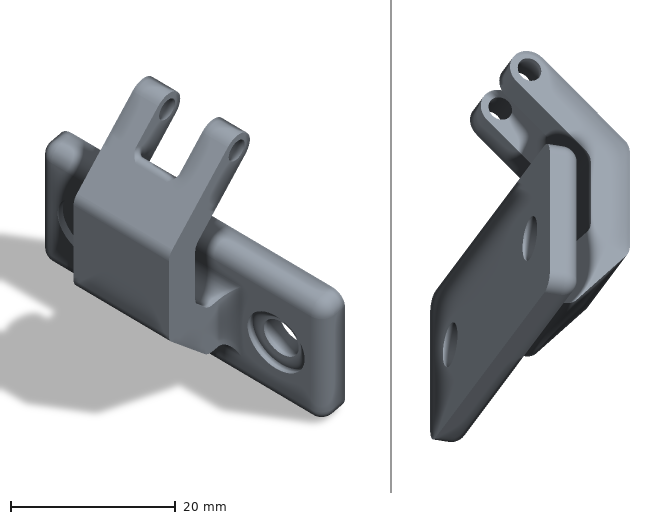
import cadquery as cq
import math

plate_length = 45.0
plate_thickness = 4.0
plate_height = 20.0
round_radius = 2.0

screw_spacing = 29.95
screw_diameter = 5.5
counterbore_diameter = 9.0
counterbore_depth = 1.0

arm_width = 15.05
arm_thickness = 5.0
arm_reach = 15.35
foot_height = 8.0
lower_bend_height = 4.25
pivot_height = 27.0
pivot_diameter = 3.0
upper_slope = math.radians(42)
lower_slope = math.radians(48)

slot_width = 6.95
slot_depth = 8.0
slot_radius = 1.0

half_thickness = arm_thickness / 2
foot_half = foot_height / 2
eye_depth = half_thickness
inner_depth = arm_reach - arm_thickness


def side_profile(depth, height):
    """Workplane point in the YZ plane; depth runs forward, along -Y."""
    return (-depth, height)


def make_plate():
    plate = cq.Workplane("XY").box(plate_length, plate_thickness, plate_height)
    plate = plate.translate((0, -plate_thickness / 2, 0))
    plate = plate.edges("|Y or <Y").fillet(round_radius)
    return plate


def flare_prism(plane, half_width, length):
    """Foot outline that flares out with concave arcs where it meets the plate."""
    flare_end = -plate_thickness - round_radius
    wide = half_width + round_radius
    sag = round_radius * (1 - math.sqrt(0.5))
    across = half_width + sag
    along = -plate_thickness - sag
    outline = (
        cq.Workplane(plane)
        .moveTo(-wide, -plate_thickness / 2)
        .lineTo(wide, -plate_thickness / 2)
        .lineTo(wide, -plate_thickness)
        .threePointArc((across, along), (half_width, flare_end))
        .lineTo(-half_width, flare_end)
        .threePointArc((-across, along), (-wide, -plate_thickness))
        .close()
    )
    return outline.extrude(length / 2, both=True)


def make_foot():
    """Two crossed prisms leave mitred corners on the flare."""
    across_x = flare_prism(cq.Plane.XY(), arm_width / 2, plate_height)
    z_plane = cq.Plane(origin=(0, 0, 0), xDir=(0, 0, 1), normal=(-1, 0, 0))
    across_z = flare_prism(z_plane, foot_half, plate_length)
    return across_x.intersect(across_z)


def make_arm():
    normal_depth = half_thickness * math.sin(upper_slope)
    normal_height = half_thickness * math.cos(upper_slope)
    eye_front = (eye_depth + normal_depth, pivot_height + normal_height)
    eye_back = (eye_depth - normal_depth, pivot_height - normal_height)
    eye_tip = (
        eye_depth - half_thickness * math.cos(upper_slope),
        pivot_height + half_thickness * math.sin(upper_slope),
    )
    drop = math.tan(upper_slope)
    upper_outer = eye_front[1] - (arm_reach - eye_front[0]) * drop
    upper_inner = eye_back[1] - (inner_depth - eye_back[0]) * drop

    rise = math.tan(lower_slope)
    heel_depth = arm_reach - (lower_bend_height + foot_half) / rise
    lower_inner = foot_half + (inner_depth - heel_depth) * rise

    root_depth = plate_thickness + round_radius
    arm = (
        cq.Workplane("YZ")
        .moveTo(*side_profile(root_depth, -foot_half))
        .lineTo(*side_profile(heel_depth, -foot_half))
        .lineTo(*side_profile(arm_reach, lower_bend_height))
        .lineTo(*side_profile(arm_reach, upper_outer))
        .lineTo(*side_profile(*eye_front))
        .threePointArc(side_profile(*eye_tip), side_profile(*eye_back))
        .lineTo(*side_profile(inner_depth, upper_inner))
        .lineTo(*side_profile(inner_depth, lower_inner))
        .lineTo(*side_profile(heel_depth, foot_half))
        .lineTo(*side_profile(root_depth, foot_half))
        .close()
        .extrude(arm_width / 2, both=True)
    )
    bends = [
        (heel_depth, -foot_half),
        (arm_reach, lower_bend_height),
        (arm_reach, upper_outer),
        (inner_depth, upper_inner),
        (inner_depth, lower_inner),
        (heel_depth, foot_half),
    ]
    for depth, height in bends:
        bend_edge = cq.selectors.NearestToPointSelector((0, -depth, height))
        arm = arm.edges(bend_edge).fillet(round_radius)
    return arm


def make_slot():
    """Slot void: a vertical wall that curls over a rounded rim onto the outer face."""
    slope_run = math.cos(upper_slope)
    slope_drop = math.sin(upper_slope)
    slot_bottom = foot_half + round_radius
    slot_top = pivot_height + arm_thickness

    rim_height = (
        pivot_height + half_thickness / slope_run - (slot_depth - eye_depth) * math.tan(upper_slope)
    )
    turn = math.pi / 2 + upper_slope
    tangent_length = slot_radius * math.tan(turn / 2)
    arc_start = (slot_depth, rim_height - tangent_length)
    arc_end = (slot_depth + tangent_length * slope_run, rim_height - tangent_length * slope_drop)
    arc_middle = (
        slot_depth + slot_radius * (1 - math.cos(turn / 2)),
        arc_start[1] + slot_radius * math.sin(turn / 2),
    )
    outer_end = (
        arc_end[0] + slot_radius * slope_run,
        arc_end[1] - slot_radius * slope_drop,
    )
    slot = (
        cq.Workplane("YZ")
        .moveTo(*side_profile(-slot_radius, slot_bottom))
        .lineTo(*side_profile(slot_depth, slot_bottom))
        .lineTo(*side_profile(*arc_start))
        .threePointArc(side_profile(*arc_middle), side_profile(*arc_end))
        .lineTo(*side_profile(*outer_end))
        .lineTo(*side_profile(outer_end[0], slot_top))
        .lineTo(*side_profile(-slot_radius, slot_top))
        .close()
        .extrude(slot_width / 2, both=True)
    )
    wall_height = (slot_bottom + arc_start[1]) / 2
    left_corner, right_corner = [
        cq.selectors.NearestToPointSelector((side * slot_width / 2, -slot_depth, wall_height))
        for side in (-1, 1)
    ]
    return slot.edges(left_corner + right_corner).fillet(slot_radius)


def cut_ears(arm):
    """Split the upper leg into two ears and drill the pivot hole through them."""
    arm = arm.cut(make_slot())
    pivot_hole = (
        cq.Workplane("YZ")
        .center(*side_profile(eye_depth, pivot_height))
        .circle(pivot_diameter / 2)
        .extrude(arm_width, both=True)
    )
    return arm.cut(pivot_hole)


def cut_screw_holes(body):
    front_face = cq.Workplane("XZ", origin=(0, -plate_thickness, 0))
    centres = [(-screw_spacing / 2, 0), (screw_spacing / 2, 0)]
    through = front_face.pushPoints(centres).circle(screw_diameter / 2).extrude(-plate_thickness)
    bore = front_face.pushPoints(centres).circle(counterbore_diameter / 2).extrude(-counterbore_depth)
    return body.cut(through).cut(bore)


plate = cut_screw_holes(make_plate())
arm = cut_ears(make_arm())
result = plate.union(make_foot()).union(arm)